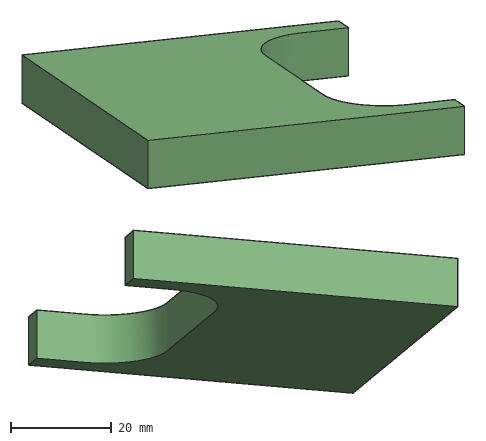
import cadquery as cq

plate_side = 68.0
plate_thickness = 10.0

arm_width = 5.5
notch_depth = 23.0
notch_corner_radius = 13.0

notch_width = plate_side - 2 * arm_width


def make_plate():
    """Square plate with one corner at the origin."""
    return cq.Workplane("XY").box(plate_side, plate_side, plate_thickness, centered=False)


def make_notch():
    """Notch volume through the full thickness, with its two inner corners rounded."""
    return (
        cq.Workplane("XY")
        .box(notch_width, notch_depth, plate_thickness, centered=False)
        .edges("|Z and <Y")
        .fillet(notch_corner_radius)
        .translate((arm_width, plate_side - notch_depth, 0))
    )


result = make_plate().cut(make_notch())